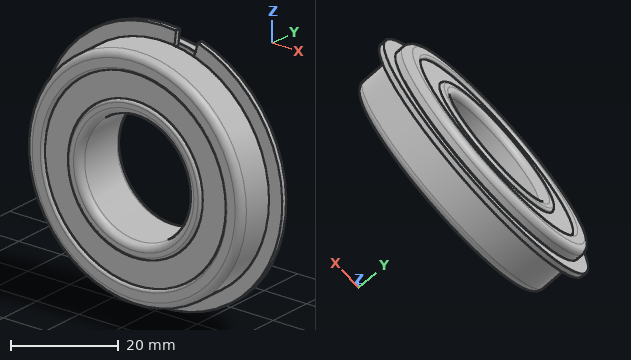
import cadquery as cq

OUTER_RADIUS = 25.4
BORE_RADIUS = OUTER_RADIUS / 2
WIDTH = OUTER_RADIUS / 2
EDGE_FILLET = 1.5

RIM_FILLET = 0.6
FACE_RECESS_DEPTH = RIM_FILLET
RECESS_OUTER_RADIUS = 21.4
RECESS_INNER_RADIUS = 15.8

RING_OUTER_RADIUS = 28.45
RING_THICKNESS = 1.2
RING_CENTRE_Y = 2.6
SIDE_CLEARANCE = 0.14
GROOVE_WIDTH = RING_THICKNESS + 2 * SIDE_CLEARANCE
GROOVE_FILLET = SIDE_CLEARANCE
GROOVE_FLOOR_RADIUS = 24.8

GAP_CENTRE_ANGLE = 12.2
GAP_ANGLE = 10.7


def annulus(outer_radius, inner_radius, thickness, centre_y):
    """Flat ring about the Y axis."""
    return (
        cq.Workplane("XZ", origin=(0, centre_y + thickness / 2, 0))
        .circle(outer_radius)
        .circle(inner_radius)
        .extrude(thickness)
    )


def face_recess():
    """Shallow ring sunk into the -Y face, widening along the rounded rim edges."""
    face_y = -WIDTH / 2
    floor_y = face_y + FACE_RECESS_DEPTH
    return (
        cq.Workplane("XY")
        .moveTo(RECESS_INNER_RADIUS - RIM_FILLET, face_y)
        .lineTo(RECESS_OUTER_RADIUS + RIM_FILLET, face_y)
        .radiusArc((RECESS_OUTER_RADIUS, floor_y), RIM_FILLET)
        .lineTo(RECESS_INNER_RADIUS, floor_y)
        .radiusArc((RECESS_INNER_RADIUS - RIM_FILLET, face_y), RIM_FILLET)
        .close()
        .revolve(360, (0, 0, 0), (0, 1, 0))
    )


def make_bearing():
    """Bearing with rounded edges, recessed faces and a ring groove with rounded floor corners."""
    body = annulus(OUTER_RADIUS, BORE_RADIUS, WIDTH, 0)
    body = body.faces("<Y or >Y").edges().fillet(EDGE_FILLET)
    front_recess = face_recess()
    body = body.cut(front_recess).cut(front_recess.mirror("XZ"))
    groove = annulus(RING_OUTER_RADIUS, GROOVE_FLOOR_RADIUS, GROOVE_WIDTH, RING_CENTRE_Y)
    groove = groove.edges(cq.selectors.RadiusNthSelector(0)).fillet(GROOVE_FILLET)
    return body.cut(groove)


def make_snap_ring():
    """Split ring seated on the groove floor: a radial section swept around Y."""
    radial_width = RING_OUTER_RADIUS - GROOVE_FLOOR_RADIUS
    mid_radius = (RING_OUTER_RADIUS + GROOVE_FLOOR_RADIUS) / 2
    start_angle = 270 + GAP_CENTRE_ANGLE + GAP_ANGLE / 2
    return (
        cq.Workplane("XY")
        .center(mid_radius, RING_CENTRE_Y)
        .rect(radial_width, RING_THICKNESS)
        .revolve(360 - GAP_ANGLE, (-mid_radius, 0, 0), (-mid_radius, 1, 0))
        .rotate((0, 0, 0), (0, 1, 0), start_angle)
    )


bearing = make_bearing()
snap_ring = make_snap_ring()

result = cq.Compound.makeCompound([bearing.val(), snap_ring.val()])